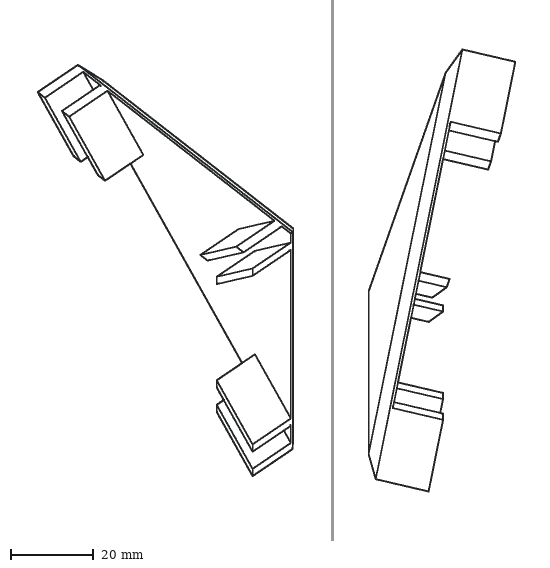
import cadquery as cq
import math

LEG = 76.2
HEIGHT = 15.85
RAIL_HEIGHT = 12.65
BEVEL = 2.5
RAIL_WIDTH = 2.6
RAIL_REACH = 12.7
SLOT = 6.0
CORNER_OFFSET = 3.2

PLATE_THICKNESS = HEIGHT - RAIL_HEIGHT
BEVEL_START = PLATE_THICKNESS - BEVEL
SHARP_CORNER_INSET = BEVEL * (1 + math.sqrt(2))


def plate_plane(y):
    """Plane facing +Y at depth y, with local x running along -X and local y along +Z."""
    return cq.Plane(origin=(0, y, 0), xDir=(-1, 0, 0), normal=(0, 1, 0))


def inward(points):
    """Turn (inset from +X side, inset from +Z side) pairs into local sketch points."""
    return [(x, -z) for x, z in points]


def prism(points, start, depth):
    """Extrude an outline along Y by a signed depth from the given start."""
    return cq.Workplane(plate_plane(start)).polyline(inward(points)).close().extrude(depth)


def make_plate():
    outline = [(0, 0), (LEG, 0), (0, LEG)]
    far = LEG - SHARP_CORNER_INSET
    back_outline = [(BEVEL, BEVEL), (far, BEVEL), (BEVEL, far)]
    base = prism(outline, 0, BEVEL_START)
    bevel = (
        cq.Workplane(plate_plane(BEVEL_START))
        .polyline(inward(outline)).close()
        .workplane(offset=BEVEL)
        .polyline(inward(back_outline)).close()
        .loft(ruled=True, combine=True)
    )
    return base.union(bevel)


def rail_footprint(offset, slope):
    """Corners of a diagonal rail starting on the +Z side; slope is the X inset gained per unit of Z inset."""
    shift = slope * RAIL_REACH
    return [
        (offset, 0),
        (offset + RAIL_WIDTH, 0),
        (offset + RAIL_WIDTH + shift, RAIL_REACH),
        (offset + shift, RAIL_REACH),
    ]


outer_rail = LEG - RAIL_WIDTH
inner_rail = outer_rail - SLOT - RAIL_WIDTH
rails_from_top = [
    rail_footprint(outer_rail, -1),
    rail_footprint(inner_rail, -1),
    rail_footprint(CORNER_OFFSET, 1),
]

result = make_plate()
for rail in rails_from_top:
    mirrored_rail = [(z, x) for x, z in rail]
    for footprint in (rail, mirrored_rail):
        result = result.union(prism(footprint, 0, -RAIL_HEIGHT))